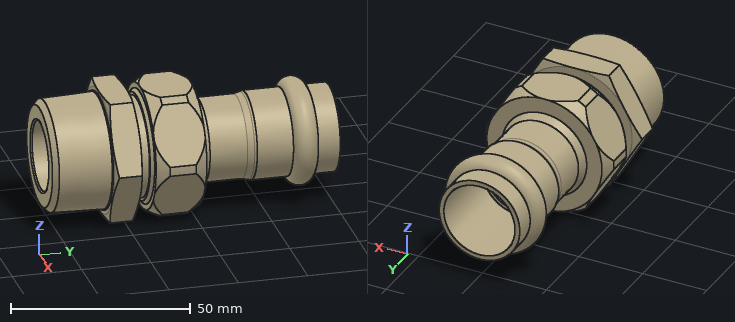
import cadquery as cq
import math

length = 83.5
across_flats = 36.0

thread_end_y = 16.7
thread_tip_radius = 16.1
thread_taper = 1 / 32
tip_chamfer_length = 1.6
tip_face_diameter = 29.0

seat_radius = 16.9
seat_thickness = 0.25

hex_length = 8.0
hex_chamfer_length = 0.75
hex_face_radius = 17.95

neck_diameter = 29.0

collar_start_y = 28.0
nut_start_y = 29.0
nut_end_y = 43.6
collar_small_radius = 15.4
collar_large_radius = 16.4
nut_corner_radius = 20.0
nut_face_radius = 18.0
nut_chamfer_length = 3.5

cone_end_y = 46.1
cone_base_radius = 13.3
pipe_diameter = 24.0
socket_diameter = 25.3
socket_start_y = 59.5
shoulder_length = 2.7
shoulder_bevel_length = 0.75
shoulder_bevel_drop = 0.25
bead_start_y = 70.0
bead_end_y = 77.15
bead_crest_radius = 15.45

bore_diameter = 20.0
bore_mouth_diameter = 21.0
mouth_chamfer = (bore_mouth_diameter - bore_diameter) / 2
socket_bore_diameter = 22.3

hex_start_y = thread_end_y + seat_thickness
hex_end_y = hex_start_y + hex_length
neck_radius = neck_diameter / 2
pipe_radius = pipe_diameter / 2
socket_radius = socket_diameter / 2
bore_radius = bore_diameter / 2
corner_radius = across_flats / math.sqrt(3)


def revolve_about_y(outline):
    """Close an outline given as X = radius, Y = position, and turn it about the Y axis."""
    return outline.close().revolve(360, (0, 0, 0), (0, 1, 0))


def turned(points):
    """Solid of revolution about Y from (radius, position) points."""
    return revolve_about_y(cq.Workplane("XY").polyline(points))


def chamfered_hexagon(start, end, face_radius, rim_radius, chamfer_length):
    """Hexagonal prism along Y with corners on the X axis, trimmed by a double-coned blank."""
    prism = (
        cq.Workplane("XZ", origin=(0, start, 0))
        .polygon(6, 2 * corner_radius)
        .extrude(start - end)
    )
    blank = turned([
        (0, start),
        (face_radius, start),
        (rim_radius, start + chamfer_length),
        (rim_radius, end - chamfer_length),
        (face_radius, end),
        (0, end),
    ])
    return prism.intersect(blank)


def threaded_end():
    """Tapered male end with a chamfered tip and a seat ring, running on into the plain neck."""
    root_radius = thread_tip_radius + thread_taper * (thread_end_y - tip_chamfer_length)
    return turned([
        (0, 0),
        (tip_face_diameter / 2, 0),
        (thread_tip_radius, tip_chamfer_length),
        (root_radius, thread_end_y),
        (seat_radius, thread_end_y),
        (seat_radius, hex_start_y),
        (neck_radius, hex_start_y),
        (neck_radius, nut_start_y),
        (0, nut_start_y),
    ])


def union_nut():
    """Hexagon nut with truncated corners and a bevelled collar facing the neck."""
    collar = turned([
        (0, collar_start_y),
        (collar_small_radius, collar_start_y),
        (collar_large_radius, nut_start_y),
        (0, nut_start_y),
    ])
    nut = chamfered_hexagon(
        nut_start_y, nut_end_y, nut_face_radius, nut_corner_radius, nut_chamfer_length
    )
    return nut.union(collar)


def pipe():
    """Pipe with a conical foot, a widened socket and a rounded bead near its end."""
    outline = (
        cq.Workplane("XY")
        .moveTo(0, nut_end_y)
        .lineTo(cone_base_radius, nut_end_y)
        .lineTo(pipe_radius, cone_end_y)
        .lineTo(pipe_radius, socket_start_y - shoulder_length)
        .lineTo(socket_radius - shoulder_bevel_drop, socket_start_y - shoulder_bevel_length)
        .lineTo(socket_radius, socket_start_y)
        .lineTo(socket_radius, bead_start_y)
        .threePointArc(
            (bead_crest_radius, (bead_start_y + bead_end_y) / 2),
            (socket_radius, bead_end_y),
        )
        .lineTo(socket_radius, length)
        .lineTo(0, length)
    )
    return revolve_about_y(outline)


def bore():
    """Through bore with a chamfered mouth, widened inside the pipe socket."""
    return turned([
        (0, 0),
        (bore_mouth_diameter / 2, 0),
        (bore_radius, mouth_chamfer),
        (bore_radius, socket_start_y),
        (socket_bore_diameter / 2, socket_start_y),
        (socket_bore_diameter / 2, length),
        (0, length),
    ])


plain_hexagon = chamfered_hexagon(
    hex_start_y, hex_end_y, hex_face_radius, corner_radius, hex_chamfer_length
)
result = threaded_end().union(plain_hexagon).union(union_nut()).union(pipe()).cut(bore())